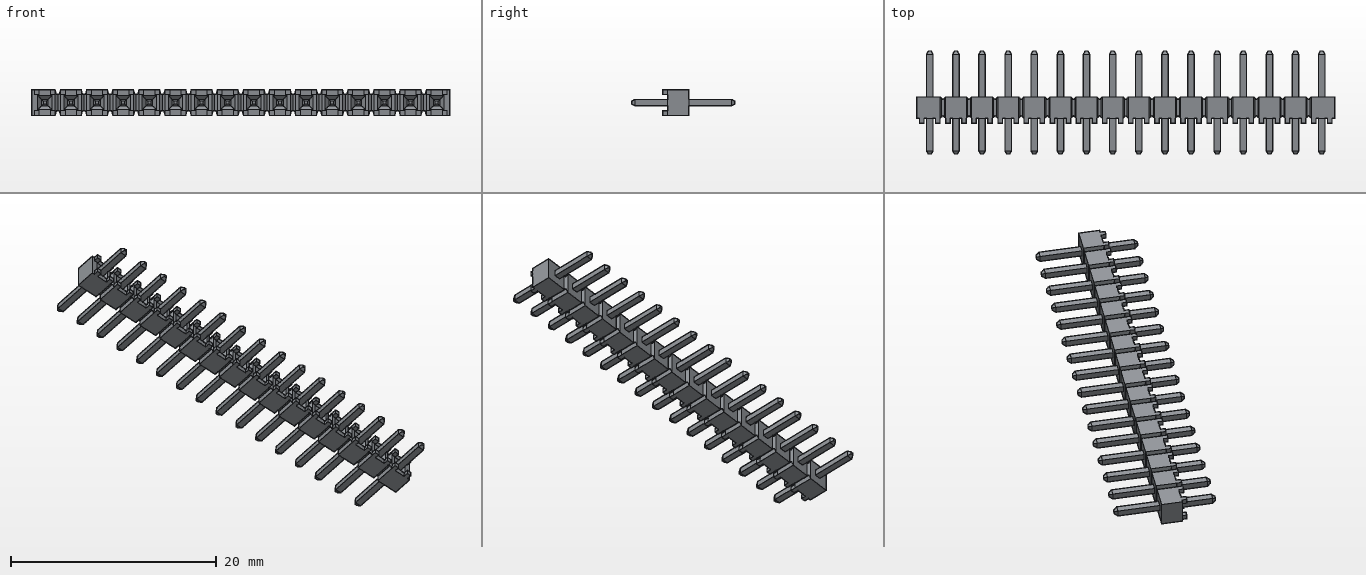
import cadquery as cq

row_length = 40.65
pin_count = 16
pitch = row_length / pin_count

body_height = 2.5
body_depth = 2.07
front_y = -body_depth / 2
back_y = body_depth / 2

groove_width = 0.53
groove_floor_width = 0.3
groove_depth = 0.45
vee_depth = 0.25
block_width = pitch - groove_width

foot_length = 0.5
foot_height = 0.5
foot_gap = 1.1
foot_width = (block_width - foot_gap) / 2

pin_width = 0.65
tip_width = 0.3
tip_length = 0.33
pin_front_reach = 3.5
pin_back_reach = 4.47

funnel_width = 1.4
funnel_depth = 0.4

cell_centres = [(index - (pin_count - 1) / 2) * pitch for index in range(pin_count)]
cell_boundaries = [x + pitch / 2 for x in cell_centres[:-1]]


def square_taper(y, direction, start_width, end_width, length):
    """Square frustum that starts at y and runs along Y (direction = +1 or -1)."""
    plane = cq.Plane(origin=(0, y, 0), xDir=(1, 0, 0), normal=(0, direction, 0))
    return (
        cq.Workplane(plane)
        .rect(start_width, start_width)
        .workplane(offset=length)
        .rect(end_width, end_width)
        .loft(ruled=True)
    )


def make_flat_grooves():
    """Flat-bottomed grooves across the top and bottom faces, centred on X = 0."""
    top_z = body_height / 2
    top_groove = (
        cq.Workplane("XZ")
        .polyline([
            (-groove_width / 2, top_z),
            (-groove_floor_width / 2, top_z - groove_depth),
            (groove_floor_width / 2, top_z - groove_depth),
            (groove_width / 2, top_z),
        ])
        .close()
        .extrude(body_depth / 2, both=True)
    )
    return top_groove.union(top_groove.mirror("XY"))


def make_vee_grooves():
    """V grooves down the front and back faces, centred on X = 0."""
    back_groove = (
        cq.Workplane("XY")
        .polyline([
            (-groove_width / 2, back_y),
            (0, back_y - vee_depth),
            (groove_width / 2, back_y),
        ])
        .close()
        .extrude(body_height / 2, both=True)
    )
    return back_groove.union(back_groove.mirror("XZ"))


def make_feet():
    """Four feet in the corners of a cell centred on X = 0."""
    return (
        cq.Workplane("XZ", origin=(0, front_y, 0))
        .rect(block_width - foot_width, body_height - foot_height, forConstruction=True)
        .vertices()
        .rect(foot_width, foot_height)
        .extrude(foot_length)
    )


def make_pin():
    """Square pin along Y with a tapered tip at both ends."""
    shank_front = front_y - pin_front_reach + tip_length
    shank_back = back_y + pin_back_reach - tip_length
    shank = (
        cq.Workplane("XZ", origin=(0, shank_back, 0))
        .rect(pin_width, pin_width)
        .extrude(shank_back - shank_front)
    )
    front_tip = square_taper(shank_front, -1, pin_width, tip_width, tip_length)
    back_tip = square_taper(shank_back, 1, pin_width, tip_width, tip_length)
    return shank.union(front_tip).union(back_tip)


def copies_along_row(feature, positions):
    """Copies of a feature at the given X positions."""
    points = [(x, 0) for x in positions]
    solid = cq.Compound.makeCompound(feature.vals())
    return cq.Workplane("XY").pushPoints(points).eachpoint(lambda place: solid.moved(place))


body = cq.Workplane("XY").box(row_length, body_depth, body_height)

grooves = make_flat_grooves().union(make_vee_grooves())
body = body.cut(copies_along_row(grooves, cell_boundaries))

funnel = square_taper(front_y, 1, funnel_width, pin_width, funnel_depth)
body = body.cut(copies_along_row(funnel, cell_centres))

body = body.union(copies_along_row(make_feet(), cell_centres))
result = body.union(copies_along_row(make_pin(), cell_centres))